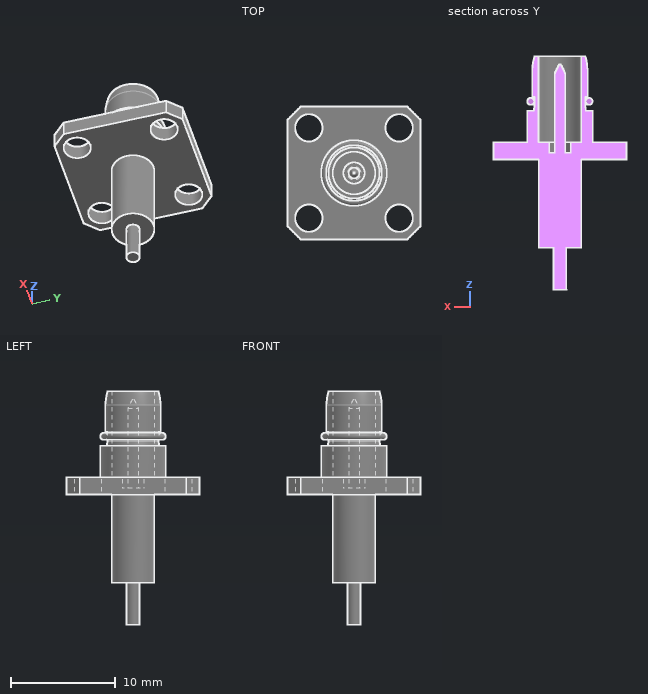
import cadquery as cq

total_height = 22.3
barrel_bottom = 4.02
flange_bottom = 12.43
flange_thickness = 1.67
shoulder_top = 17.11
groove_top = 18.38
nose_bottom = 21.02
flange_top = flange_bottom + flange_thickness

flange_side = 12.7
corner_cut = 1.27
mount_hole_diameter = 2.59
mount_hole_pitch = 8.61

barrel_diameter = 4.08
shoulder_diameter = 6.27
plug_diameter = 5.33
mouth_diameter = 4.86
nose_bulge = 0.05

groove_diameter = 4.89
groove_foot_diameter = 5.02
groove_foot_top = 17.54

socket_diameter = 4.05
socket_floor = flange_top
recess_diameter = 2.03
recess_depth = 1.0

tail_diameter = 1.27
tip_diameter = 1.03
tip_end_diameter = 0.18
tip_top = 21.53
tip_cone_height = 0.85

ring_diameter = shoulder_diameter
ring_top_gap = 0.05
ring_section_diameter = (ring_diameter - groove_diameter) / 2


def cylinder(diameter, bottom, top):
    """Upright cylinder on the part's axis."""
    return cq.Workplane("XY").workplane(offset=bottom).circle(diameter / 2).extrude(top - bottom)


def make_flange():
    """Square plate with cut corners and four mounting holes."""
    plate = (
        cq.Workplane("XY")
        .workplane(offset=flange_bottom)
        .rect(flange_side, flange_side)
        .extrude(flange_thickness)
        .edges("|Z")
        .chamfer(corner_cut)
    )
    return (
        plate.faces(">Z")
        .workplane()
        .rect(mount_hole_pitch, mount_hole_pitch, forConstruction=True)
        .vertices()
        .hole(mount_hole_diameter)
    )


def make_plug():
    """Shoulder, groove and plug with a gently bulged nose, revolved about Z."""
    shoulder_radius = shoulder_diameter / 2
    foot_radius = groove_foot_diameter / 2
    groove_radius = groove_diameter / 2
    plug_radius = plug_diameter / 2
    mouth_radius = mouth_diameter / 2
    nose_mid_radius = (plug_radius + mouth_radius) / 2 + nose_bulge
    nose_mid_height = (nose_bottom + total_height) / 2
    return (
        cq.Workplane("XZ")
        .moveTo(0, flange_top)
        .lineTo(shoulder_radius, flange_top)
        .lineTo(shoulder_radius, shoulder_top)
        .lineTo(foot_radius, shoulder_top)
        .lineTo(groove_radius, groove_foot_top)
        .lineTo(groove_radius, groove_top)
        .lineTo(plug_radius, groove_top)
        .lineTo(plug_radius, nose_bottom)
        .threePointArc((nose_mid_radius, nose_mid_height), (mouth_radius, total_height))
        .lineTo(0, total_height)
        .close()
        .revolve()
    )


def make_contact_tip():
    """Round pin inside the socket, ending in a cone with a small flat."""
    cone_bottom = tip_top - tip_cone_height
    shank = cylinder(tip_diameter, socket_floor - recess_depth, cone_bottom)
    cone = (
        cq.Workplane("XY")
        .workplane(offset=cone_bottom)
        .circle(tip_diameter / 2)
        .workplane(offset=tip_cone_height)
        .circle(tip_end_diameter / 2)
        .loft(ruled=True)
    )
    return shank.union(cone)


def make_connector():
    """Connector body: flange, plug, rear barrel and contact."""
    body = make_flange().union(make_plug())
    body = body.union(cylinder(barrel_diameter, barrel_bottom, flange_bottom))
    body = body.union(cylinder(tail_diameter, 0, barrel_bottom))
    body = body.cut(cylinder(socket_diameter, socket_floor, total_height))
    body = body.cut(cylinder(recess_diameter, socket_floor - recess_depth, socket_floor))
    return body.union(make_contact_tip())


def make_sealing_ring():
    """Round-section ring hugging the groove floor just below its upper wall."""
    section_radius = ring_section_diameter / 2
    ring_radius = ring_diameter / 2 - section_radius
    ring = cq.Solid.makeTorus(ring_radius, section_radius)
    return ring.translate(cq.Vector(0, 0, groove_top - ring_top_gap - section_radius))


connector = make_connector()
sealing_ring = make_sealing_ring()

result = cq.Compound.makeCompound([connector.solids().val(), sealing_ring])